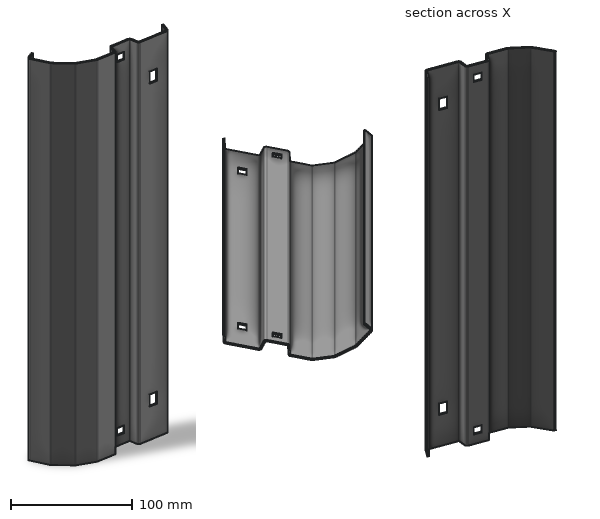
import cadquery as cq
import math

LENGTH = 390.0
WIDTH = 42.0
DEPTH = 120.0
SHEET = 1.5
INNER_BEND = 0.8
OUTER_BEND = INNER_BEND + SHEET

FLANGE_REACH = 10.0
FLANGE_DROP = 2.7
CHANNEL_RISE = 9.0
CHANNEL_CENTER_Y = -45.5
CHANNEL_MOUTH = 23.5
CHANNEL_FLOOR = 18.7
BACK_END_Y = -77.2

FACET_TURN = 20.0
FACET_LENGTHS = (19.0, 20.3)
LAST_FACET = 3
LIP_LENGTH = 9.5

CUTOUT_WIDTH = 7.5
SQUARE_HEIGHT = 7.5
SLOT_HEIGHT = 11.7
SQUARE_SPACING = 362.7
SLOT_SPACING = 313.5
SLOT_Y = -18.5


def back_face_points():
    """Corners of the strip's +X face, from the top flange to the lip."""
    mouth = CHANNEL_MOUTH / 2
    floor = CHANNEL_FLOOR / 2
    points = [
        (-FLANGE_REACH, 0),
        (0, -FLANGE_DROP),
        (0, CHANNEL_CENTER_Y + mouth),
        (-CHANNEL_RISE, CHANNEL_CENTER_Y + floor),
        (-CHANNEL_RISE, CHANNEL_CENTER_Y - floor),
        (0, CHANNEL_CENTER_Y - mouth),
        (0, BACK_END_Y),
    ]
    for number, length in enumerate(FACET_LENGTHS, start=1):
        angle = math.radians(number * FACET_TURN)
        x, y = points[-1]
        points.append((x - length * math.sin(angle), y - length * math.cos(angle)))

    angle = math.radians(LAST_FACET * FACET_TURN)
    x, y = points[-1]
    heel_y = -DEPTH - OUTER_BEND * (math.sin(angle) + math.cos(angle) - 1)
    heel_x = x - (y - heel_y) * math.tan(angle)
    points.append((heel_x, heel_y))
    points.append((heel_x - LIP_LENGTH * math.cos(angle), heel_y + LIP_LENGTH * math.sin(angle)))
    return points


def offset_points(points, distance):
    """Mitred offset of an open polyline, to the right of its direction."""
    normals = []
    for (x0, y0), (x1, y1) in zip(points, points[1:]):
        length = math.hypot(x1 - x0, y1 - y0)
        normals.append(((y1 - y0) / length, (x0 - x1) / length))
    before = normals[:1] + normals
    after = normals + normals[-1:]
    shifted = []
    for (x, y), (ax, ay), (bx, by) in zip(points, before, after):
        scale = distance / (1 + ax * bx + ay * by)
        shifted.append((x + scale * (ax + bx), y + scale * (ay + by)))
    return shifted


def turns_right(before, corner, after):
    """True where a path through three points turns clockwise."""
    step_in = (corner[0] - before[0], corner[1] - before[1])
    step_out = (after[0] - corner[0], after[1] - corner[1])
    return step_in[0] * step_out[1] - step_in[1] * step_out[0] < 0


def round_bends(body, back, front):
    """Round both faces of the sheet at every bend, concentrically."""
    for index in range(1, len(back) - 1):
        right_bend = turns_right(*back[index - 1:index + 2])
        back_radius = OUTER_BEND if right_bend else INNER_BEND
        front_radius = INNER_BEND if right_bend else OUTER_BEND
        for corner, radius in ((back[index], back_radius), (front[index], front_radius)):
            edge = cq.selectors.NearestToPointSelector((*corner, LENGTH / 2))
            body = body.edges("|Z").edges(edge).fillet(radius)
    return body


def cutouts(center_y, height, spacing):
    """Pair of rectangular cutters running through the sheet along X."""
    cutter = cq.Workplane("XY").box(2 * WIDTH, CUTOUT_WIDTH, height)
    upper = cutter.translate((0, center_y, (LENGTH + spacing) / 2))
    lower = cutter.translate((0, center_y, (LENGTH - spacing) / 2))
    return upper.union(lower)


back_face = back_face_points()
front_face = offset_points(back_face, SHEET)
outline = back_face + front_face[::-1]

strip = cq.Workplane("XY").polyline(outline).close().extrude(LENGTH)
strip = round_bends(strip, back_face, front_face)
strip = strip.cut(cutouts(CHANNEL_CENTER_Y, SQUARE_HEIGHT, SQUARE_SPACING))
result = strip.cut(cutouts(SLOT_Y, SLOT_HEIGHT, SLOT_SPACING))